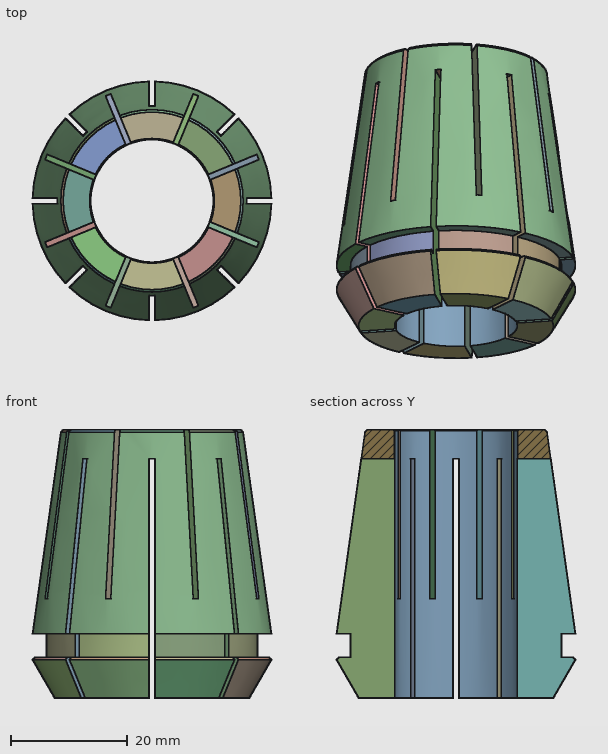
import cadquery as cq
import math

height = 46.0
max_diameter = 41.0
bore_diameter = 21.0
taper_angle = 8.0
nose_angle = 30.0
groove_diameter = 36.2
groove_bottom = 7.0
groove_top = 11.0
lip_chamfer = 0.4
rim_chamfer = 0.4
bore_chamfer = 0.2
slot_width = 0.95
slot_count = 8
lower_slot_top = 41.0
upper_slot_bottom = 17.0

max_radius = max_diameter / 2
groove_radius = groove_diameter / 2
bore_radius = bore_diameter / 2
lip_edge = groove_bottom - lip_chamfer
rim_edge = height - rim_chamfer
slot_pitch = 360.0 / slot_count


def cone_radius(z):
    """Outer radius of the main cone at height z."""
    return max_radius - (z - groove_top) * math.tan(math.radians(taper_angle))


def collet_body():
    """Revolve the half section: nose cone, groove, main cone and bore."""
    nose_radius = max_radius - lip_edge * math.tan(math.radians(nose_angle))
    section = [
        (bore_radius, 0),
        (nose_radius, 0),
        (max_radius, lip_edge),
        (max_radius - lip_chamfer, groove_bottom),
        (groove_radius, groove_bottom),
        (groove_radius, groove_top),
        (max_radius, groove_top),
        (cone_radius(rim_edge), rim_edge),
        (cone_radius(rim_edge) - rim_chamfer, height),
        (bore_radius + bore_chamfer, height),
        (bore_radius, height - bore_chamfer),
    ]
    return cq.Workplane("XZ").polyline(section).close().revolve(360, (0, 0), (0, 1))


def slot_ring(bottom, top, start_angle):
    """Radial blades from the axis outwards, evenly spaced around Z."""
    blade = cq.Workplane("XY").box(
        max_diameter, slot_width, top - bottom, centered=(False, True, False)
    )
    blade = blade.translate((0, 0, bottom))
    ring = cq.Workplane("XY")
    for i in range(slot_count):
        angle = start_angle + i * slot_pitch
        ring = ring.add(blade.rotate((0, 0, 0), (0, 0, 1), angle))
    return ring.combine()


lower_slots = slot_ring(0, lower_slot_top, 0)
upper_slots = slot_ring(upper_slot_bottom, height, slot_pitch / 2)

result = collet_body().cut(lower_slots).cut(upper_slots)